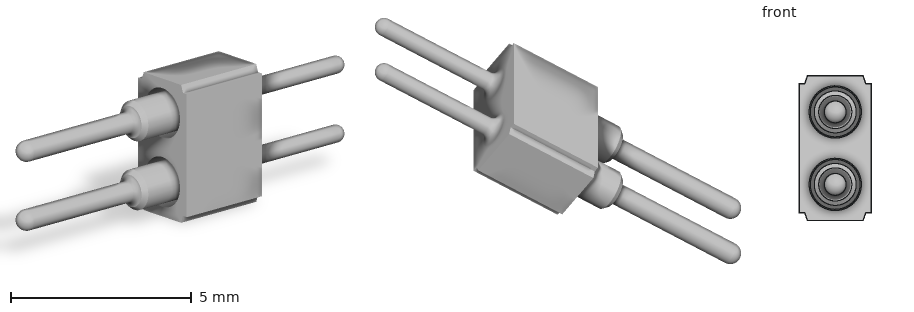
import cadquery as cq

housing_width = 2.0
housing_length = 2.8
pin_count = 2
pin_pitch = housing_width
housing_height = pin_count * pin_pitch

notch_height = 0.22
ledge_width = 0.16
notch_top_width = 0.23

barrel_radius = 0.72
barrel_recess = 0.72
barrel_chamfer = 0.04
collar_radius = 0.58
collar_length = 1.05
cone_length = 0.15
cone_end_radius = 0.46
contact_radius = 0.3
contact_reach = 5.37
tail_radius = 0.25
tail_reach = 3.9
tail_fillet_radius = 0.25

contact_fillet_radius = cone_end_radius - contact_radius

QUARTER_TURN_COSINE = 0.5 ** 0.5


def pin_heights():
    """Z of each pin axis, centred on the housing."""
    lowest = -(pin_count - 1) * pin_pitch / 2
    return [lowest + index * pin_pitch for index in range(pin_count)]


def make_housing():
    """Block with four notched long edges and a through hole for each pin."""
    half_width = housing_width / 2
    half_height = housing_height / 2
    ledge_z = half_height - notch_height
    ledge_x = half_width - ledge_width
    top_x = half_width - notch_top_width

    outline = [
        (half_width, -ledge_z),
        (half_width, ledge_z),
        (ledge_x, ledge_z),
        (top_x, half_height),
        (-top_x, half_height),
        (-ledge_x, ledge_z),
        (-half_width, ledge_z),
        (-half_width, -ledge_z),
        (-ledge_x, -ledge_z),
        (-top_x, -half_height),
        (top_x, -half_height),
        (ledge_x, -ledge_z),
    ]
    block = cq.Workplane("XZ").polyline(outline).close().extrude(-housing_length)
    holes = (
        cq.Workplane("XZ")
        .pushPoints([(0, z) for z in pin_heights()])
        .circle(barrel_radius)
        .extrude(-housing_length)
    )
    return block.cut(holes)


def arc_middle(centre, radius, radial_sign, axial_sign):
    """Middle point of a quarter arc, in the quadrant given by the two signs."""
    offset = radius * QUARTER_TURN_COSINE
    return centre[0] + radial_sign * offset, centre[1] + axial_sign * offset


def make_pin(axis_z):
    """Pin turned about an axis along Y at height axis_z."""
    contact_tip_y = -contact_reach
    contact_dome_y = contact_tip_y + contact_radius
    collar_end_y = -collar_length
    cone_end_y = collar_end_y - cone_length
    contact_fillet_y = cone_end_y - contact_fillet_radius
    tail_tip_y = housing_length + tail_reach
    tail_dome_y = tail_tip_y - tail_radius
    tail_fillet_y = housing_length + tail_fillet_radius
    tail_fillet_edge = tail_radius + tail_fillet_radius

    contact_dome_middle = arc_middle((0, contact_dome_y), contact_radius, 1, -1)
    contact_fillet_middle = arc_middle((cone_end_radius, contact_fillet_y), contact_fillet_radius, -1, 1)
    tail_fillet_middle = arc_middle((tail_fillet_edge, tail_fillet_y), tail_fillet_radius, -1, -1)
    tail_dome_middle = arc_middle((0, tail_dome_y), tail_radius, 1, 1)

    half_profile = (
        cq.Workplane("XY")
        .moveTo(0, contact_tip_y)
        .threePointArc(contact_dome_middle, (contact_radius, contact_dome_y))
        .lineTo(contact_radius, contact_fillet_y)
        .threePointArc(contact_fillet_middle, (cone_end_radius, cone_end_y))
        .lineTo(collar_radius, collar_end_y)
        .lineTo(collar_radius, barrel_recess)
        .lineTo(barrel_radius - barrel_chamfer, barrel_recess)
        .lineTo(barrel_radius, barrel_recess + barrel_chamfer)
        .lineTo(barrel_radius, housing_length)
        .lineTo(tail_fillet_edge, housing_length)
        .threePointArc(tail_fillet_middle, (tail_radius, tail_fillet_y))
        .lineTo(tail_radius, tail_dome_y)
        .threePointArc(tail_dome_middle, (0, tail_tip_y))
        .close()
    )
    return half_profile.revolve(360, (0, 0), (0, 1)).translate((0, 0, axis_z))


housing = make_housing()
pins = [make_pin(axis_z) for axis_z in pin_heights()]

result = cq.Compound.makeCompound([housing.val(), *[pin.val() for pin in pins]])